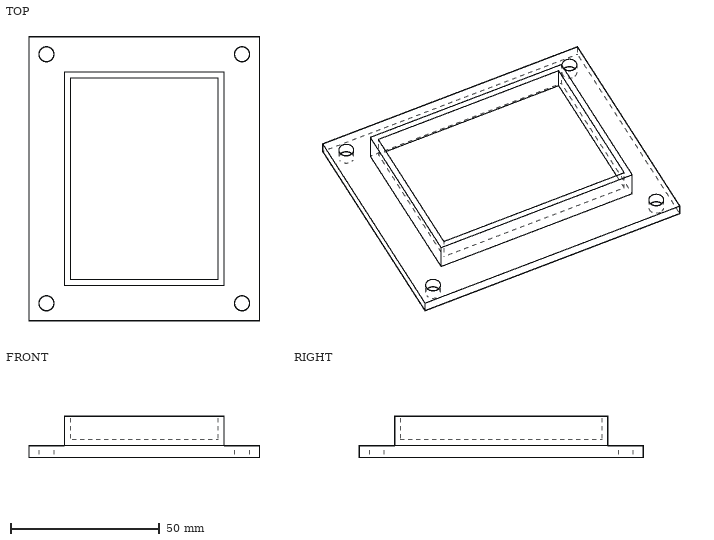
import cadquery as cq

plate_width = 78.0
plate_length = 96.0
plate_thickness = 4.0

total_height = 14.0
flange_margin = 12.0
wall_thickness = 2.0
pocket_depth = 8.0
tray_width = plate_width - 2 * flange_margin
tray_length = plate_length - 2 * flange_margin

hole_diameter = 5.0
hole_inset = 6.0
hole_spacing_x = plate_width - 2 * hole_inset
hole_spacing_y = plate_length - 2 * hole_inset


def centred_block(width, length, height, bottom):
    """Rectangular block centred on the Z axis, standing on the height `bottom`."""
    return cq.Workplane("XY").workplane(offset=bottom).rect(width, length).extrude(height)


plate = centred_block(plate_width, plate_length, plate_thickness, 0)
tray = centred_block(tray_width, tray_length, total_height, 0)
pocket = centred_block(
    tray_width - 2 * wall_thickness,
    tray_length - 2 * wall_thickness,
    pocket_depth,
    total_height - pocket_depth,
)
mounting_holes = (
    cq.Workplane("XY")
    .rect(hole_spacing_x, hole_spacing_y, forConstruction=True)
    .vertices()
    .circle(hole_diameter / 2)
    .extrude(plate_thickness)
)

result = plate.union(tray).cut(pocket).cut(mounting_holes)